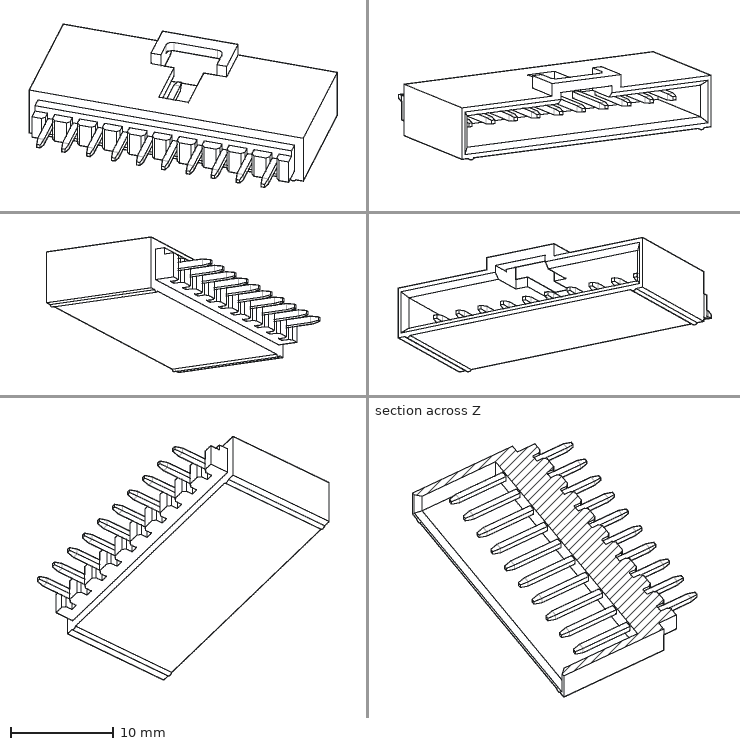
import cadquery as cq
import math


body_length = 27.95

pin_count = 10
pitch = body_length / (pin_count + 1)
pin_width = 0.65
pin_tip_width = 0.35
pin_taper_length = 0.8
tail_length = 5.28
mating_tip_setback = 2.8

body_depth = 11.5
body_height = 5.17
wall = 1.0
end_wall = 0.9
pin_center_z = body_height / 2
cavity_depth = 9.0
mouth_chamfer = 0.55
mouth_angle = 45

base_length = body_length - 2 * end_wall
base_step = 1.0
base_bottom_z = 1.05
base_top_z = 4.15
teeth_reach = 2.0
teeth_top_z = 3.52
tooth_gap = 0.73
tooth_chamfer = 0.3

latch_width = 7.7
latch_depth = 3.85
latch_height = 1.25
latch_arm = 1.0
crossbar_depth = 1.5
crossbar_height = 1.0
latch_corner_radius = 0.61
head_width = latch_width - 2 * latch_arm
stem_width = 3.02

rib_width = 0.61
rib_height = 0.17
rib_inset = 1.05


def box(x_size, y_start, y_end, z_start, z_end):
    """Block centred on X = 0, spanning the given Y and Z ranges."""
    size = (x_size, y_end - y_start, z_end - z_start)
    block = cq.Workplane("XY").box(*size, centered=(True, False, False))
    return block.translate((0, y_start, z_start))


def make_shell():
    """Housing block hollowed out from its rear face."""
    shell = box(body_length, 0, body_depth, 0, body_height)
    cavity = box(base_length, body_depth - cavity_depth, body_depth, wall, body_height - wall)
    return shell.cut(cavity).cut(make_mouth_lead_in())


def make_mouth_lead_in():
    """Flare around the mouth of the cavity, widest at the rear face."""
    cavity_height = body_height - 2 * wall
    flare = cq.Workplane("XZ", origin=(0, body_depth, body_height / 2))
    flare = flare.rect(base_length + 2 * mouth_chamfer, cavity_height + 2 * mouth_chamfer)
    return flare.extrude(mouth_chamfer, taper=mouth_angle)


def make_base(pin_positions):
    """Stepped base whose lower step is split into teeth by a flared gap at each pin."""
    base = box(base_length, -base_step, 0, base_bottom_z, base_top_z)
    teeth = box(base_length, -teeth_reach, -base_step, base_bottom_z, teeth_top_z)
    half_gap = tooth_gap / 2
    half_mouth = half_gap + tooth_chamfer
    chamfer_start = -teeth_reach + tooth_chamfer
    gap_outline = [
        (-half_gap, -base_step),
        (-half_gap, chamfer_start),
        (-half_mouth, -teeth_reach),
        (half_mouth, -teeth_reach),
        (half_gap, chamfer_start),
        (half_gap, -base_step),
    ]
    gap = cq.Workplane("XY").polyline(gap_outline).close().extrude(body_height)
    for x in pin_positions:
        teeth = teeth.cut(gap.translate((x, 0, 0)))
    return base.union(teeth)


def add_latch(housing):
    """Add the latch loop and cut the T-shaped window through the top wall."""
    back = body_depth
    front = body_depth - latch_depth
    loop_top = body_height + latch_height
    loop = box(latch_width, front, back, body_height, loop_top)
    opening = box(head_width, front, back - crossbar_depth, body_height, loop_top)
    opening = opening.edges("|Z and >Y").fillet(latch_corner_radius)
    clearance = box(head_width, front, back, body_height - wall, loop_top - crossbar_height)
    stem = box(stem_width, back - cavity_depth, front, body_height - wall, body_height)
    return housing.union(loop).cut(opening).cut(clearance).cut(stem)


def make_rib(x):
    """Rounded rib running the full depth of the underside."""
    return (
        cq.Workplane("XZ", origin=(x, 0, 0))
        .moveTo(-rib_width / 2, 0)
        .threePointArc((0, -rib_height), (rib_width / 2, 0))
        .close()
        .extrude(-body_depth)
    )


def make_pin(x):
    """Square pin with a tapered tip at each end."""
    tail_end = -tail_length
    mating_end = body_depth - mating_tip_setback
    shank_start = tail_end + pin_taper_length
    shank_end = mating_end - pin_taper_length
    pin = box(pin_width, shank_start, shank_end, -pin_width / 2, pin_width / 2)
    taper_angle = math.degrees(math.atan((pin_width - pin_tip_width) / 2 / pin_taper_length))
    for face in ("<Y", ">Y"):
        tip = pin.faces(face).workplane(centerOption="CenterOfMass").rect(pin_width, pin_width)
        pin = tip.extrude(pin_taper_length, taper=taper_angle)
    return pin.translate((x, 0, pin_center_z))


pin_positions = [(i - (pin_count - 1) / 2) * pitch for i in range(pin_count)]

result = add_latch(make_shell().union(make_base(pin_positions)))
for side in (-1, 1):
    result = result.union(make_rib(side * (body_length / 2 - rib_inset)))
for x in pin_positions:
    result = result.union(make_pin(x))